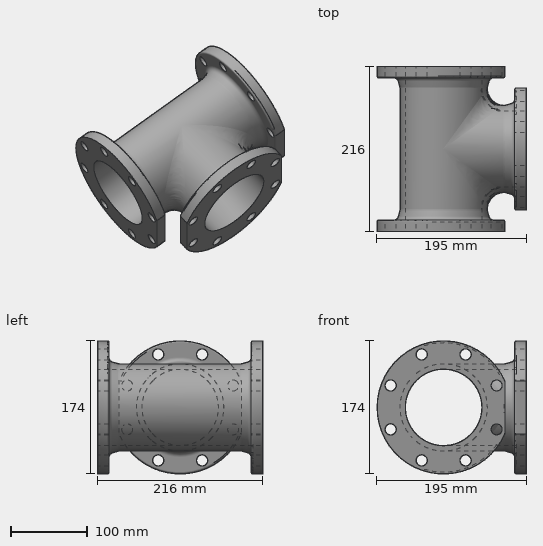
import cadquery as cq
import math

run_length = 216.0
flange_radius = 87.0
flange_thickness = 15.1
flange_edge_fillet = 2.4
flat_distance = 80.0
pipe_radius = 57.0
bore_radius = 50.0
neck_length = 28.0
neck_root_radius = 60.7
neck_blend_radius = 6.0
crotch_radius = 21.5
bolt_count = 8
bolt_circle_radius = 75.0
bolt_hole_diameter = 14.3
hub_margin = 0.2
crotch_sections = 9

reach = run_length / 2
flange_back = reach - flange_thickness
neck_end = reach - neck_length
crotch_centre = pipe_radius + crotch_radius
hub_end = crotch_centre + hub_margin
neck_radius_limit = (neck_root_radius + flange_radius) / 2
bore_crotch_radius = crotch_centre - bore_radius


def turned_leg():
    """Solid conical neck and flange, from the end of the hub up to a face at Z = reach."""
    profile = [
        (0, hub_end),
        (pipe_radius, hub_end),
        (pipe_radius, neck_end),
        (neck_root_radius, flange_back),
        (flange_radius, flange_back),
        (flange_radius, reach),
        (0, reach),
    ]
    return cq.Workplane("XZ").polyline(profile).close().revolve(360, (0, 0, 0), (0, 1, 0))


def is_neck_edge(edge):
    """True for the circles at the small and the large end of the neck."""
    above_hub = edge.Center().z > (hub_end + neck_end) / 2
    return above_hub and edge.radius() < neck_radius_limit


def is_back_rim(edge):
    """True for the outer edges, round and straight, of the back of the flange."""
    on_back = abs(edge.Center().z - flange_back) < flange_edge_fillet / 2
    on_root = edge.geomType() == "CIRCLE" and edge.radius() < neck_radius_limit
    return on_back and not on_root


def flanged_leg(flat_angles):
    """One leg along Z with bolt holes, rounded edges and a flat at each angle from +X."""
    width = 2 * flange_radius
    beyond_flat = cq.Workplane("XY").box(width, width, width, centered=(False, True, False))
    beyond_flat = beyond_flat.translate((flat_distance, 0, 0))
    leg = turned_leg()
    for angle in flat_angles:
        leg = leg.cut(beyond_flat.rotate((0, 0, 0), (0, 0, 1), angle))
    leg = leg.edges().filter(is_back_rim).fillet(flange_edge_fillet)
    leg = leg.edges("%CIRCLE").filter(is_neck_edge).fillet(neck_blend_radius)
    first_angle = 180 / bolt_count
    bolt_holes = (
        cq.Workplane("XY")
        .polarArray(bolt_circle_radius, first_angle, 360, bolt_count)
        .circle(bolt_hole_diameter / 2)
        .extrude(run_length)
    )
    return leg.cut(bolt_holes)


def crotch_fill(radius, rounding):
    """Fill of the +X +Y corner between two pipes: half ellipses hinged on the Z axis, all as
    high as the pipes, whose tips follow an arc that touches both pipes at mid height."""
    sections = []
    for i in range(crotch_sections):
        angle = math.radians(180 + 90 * i / (crotch_sections - 1))
        tip_x = crotch_centre + rounding * math.cos(angle)
        tip_y = crotch_centre + rounding * math.sin(angle)
        half_ellipse = cq.Edge.makeEllipse(
            math.hypot(tip_x, tip_y),
            radius,
            dir=cq.Vector(tip_y, -tip_x, 0),
            xdir=cq.Vector(tip_x, tip_y, 0),
            angle1=-90,
            angle2=90,
        )
        hinge = cq.Edge.makeLine(half_ellipse.endPoint(), half_ellipse.startPoint())
        sections.append(cq.Wire.assembleEdges([half_ellipse, hinge]))
    faces = cq.Solid.makeLoft(sections).Faces()
    faces.remove(min(faces, key=lambda face: face.Area()))
    return cq.Workplane(cq.Solid.makeSolid(cq.Shell.makeShell(faces)))


def sector(bar, corners):
    """The part of a bar above and below a flat polygon."""
    prism = cq.Workplane("XY").polyline(corners).close().extrude(reach, both=True)
    return bar.intersect(prism)


def hub(radius, rounding):
    """T of round bars, made of sectors that meet on the Z axis, up to hub_end each way."""
    run_bar = cq.Workplane("XZ").circle(radius).extrude(hub_end, both=True)
    branch_bar = cq.Workplane("YZ").circle(radius).extrude(hub_end)
    run_corners = [
        (0, 0),
        (radius, crotch_centre),
        (reach, hub_end),
        (-reach, hub_end),
        (-reach, -hub_end),
        (reach, -hub_end),
        (radius, -crotch_centre),
    ]
    branch_corners = [
        (0, 0),
        (crotch_centre, radius),
        (hub_end, reach),
        (hub_end, -reach),
        (crotch_centre, -radius),
    ]
    run = sector(run_bar, run_corners)
    branch = sector(branch_bar, branch_corners)
    fill = crotch_fill(radius, rounding)
    return run.union(fill).union(branch).union(fill.mirror("XZ"))


rear_leg = flanged_leg([0]).rotate((0, 0, 0), (1, 0, 0), -90)
front_leg = rear_leg.mirror("XZ")
branch_leg = flanged_leg([90, 270]).rotate((0, 0, 0), (0, 1, 0), 90)
outside = hub(pipe_radius, crotch_radius).union(rear_leg).union(front_leg).union(branch_leg)

bore_end = cq.Workplane("XY").workplane(offset=hub_end).circle(bore_radius).extrude(reach)
inside = hub(bore_radius, bore_crotch_radius)
for axis, angle in [((1, 0, 0), 90), ((1, 0, 0), -90), ((0, 1, 0), 90)]:
    inside = inside.union(bore_end.rotate((0, 0, 0), axis, angle))

result = outside.cut(inside)